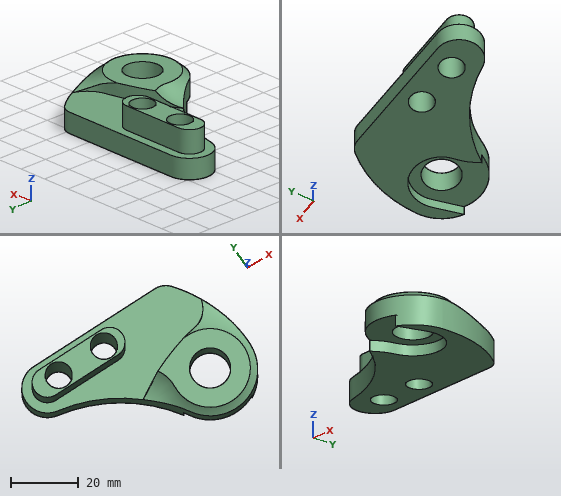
import cadquery as cq
import math


hub_radius = 14.1
cap_radius = 7.6
cap_x = -43.04
cap_y = 22.2
edge_y = cap_y + cap_radius
flank_radius = 47.8
back_radius = 42.0
back_angle = -2.0
corner_x = 0.0

plate_height = 7.0
hub_height = 11.45
part_height = 14.91

boss_radius = 4.53
boss_length = 22.05
pin_hole_radius = 4.0
pin_hole_spacing = 16.0
first_hole_offset = 4.0

bore_radius = 6.07
hub_top_radius = 11.9
flare_radius = 14.3
blend_radius = 10.7
blend_angle = 175.0
flare_end_angle = 95.0

wall_radius = 80.0
wall_start = (-21.8, 3.4)
wall_bend = (2.7, 12.9)
wall_end = (9.7, 19.6)

recess_depth = 3.5
recess_radius = 10.0
mouth_wall_angle = 17.0
mouth_flank_angle = 11.0
mouth_flank_end = (-13.05, -5.5)

margin = 40.0
clearance = 1.0


def polar(center, radius, degrees):
    """Point at the given radius and angle from center."""
    angle = math.radians(degrees)
    return (center[0] + radius * math.cos(angle), center[1] + radius * math.sin(angle))


def direction(start, end):
    """Angle in degrees of the line from start to end."""
    return math.degrees(math.atan2(end[1] - start[1], end[0] - start[0]))


def outline():
    """Closed plate outline, every stretch tangent to the next."""
    hub = (0, 0)
    cap = (cap_x, cap_y)

    to_hub = hub_radius + flank_radius
    to_cap = cap_radius + flank_radius
    span = math.hypot(cap_x, cap_y)
    cosine = (to_hub**2 + span**2 - to_cap**2) / (2 * to_hub * span)
    flank_angle = direction(hub, cap) + math.degrees(math.acos(cosine))
    flank = polar(hub, to_hub, flank_angle)
    flank_at_cap = polar(cap, cap_radius, direction(cap, flank))
    flank_at_hub = polar(hub, hub_radius, flank_angle)
    flank_mid = polar(flank, flank_radius, (direction(flank, cap) + direction(flank, hub)) / 2)

    back = polar(hub, hub_radius - back_radius, back_angle)
    corner_run = corner_x - back[0]
    edge_rise = edge_y - back[1]
    corner_radius = (back_radius**2 - corner_run**2 - edge_rise**2) / (2 * (back_radius - edge_rise))
    corner = (corner_x, edge_y - corner_radius)
    corner_angle = direction(back, corner)

    return (
        cq.Workplane("XY")
        .moveTo(cap_x, edge_y)
        .threePointArc((cap_x - cap_radius, cap_y), flank_at_cap)
        .threePointArc(flank_mid, flank_at_hub)
        .threePointArc(polar(hub, hub_radius, (flank_angle - 360 + back_angle) / 2),
                       polar(hub, hub_radius, back_angle))
        .threePointArc(polar(back, back_radius, (back_angle + corner_angle) / 2),
                       polar(back, back_radius, corner_angle))
        .threePointArc(polar(corner, corner_radius, (corner_angle + 90) / 2), (corner_x, edge_y))
        .close()
    )


def flare_cutter(center, rim_radius, outward, reach, start_angle, sweep):
    """Space above the flare, turned anticlockwise round a vertical axis through center.

    The flare starts on the rim of the hub top and runs out level with the plate top.
    outward is 1 when it falls away from the axis and -1 when it falls towards it.
    """
    drop = hub_height - plate_height
    turn = math.acos(1 - drop / flare_radius)
    foot_radius = rim_radius + outward * flare_radius * math.sin(turn)
    mid_radius = foot_radius - outward * flare_radius * math.sin(turn / 2)
    mid_height = plate_height + flare_radius * (1 - math.cos(turn / 2))
    profile = (
        cq.Workplane("XZ")
        .moveTo(reach, plate_height)
        .lineTo(foot_radius, plate_height)
        .threePointArc((mid_radius, mid_height), (rim_radius, hub_height))
        .lineTo(rim_radius, hub_height + clearance)
        .lineTo(reach, hub_height + clearance)
        .close()
    )
    cutter = profile.revolve(sweep, (0, 0, 0), (0, 1, 0))
    return cutter.rotate((0, 0, 0), (0, 0, 1), start_angle).translate((*center, 0))


def plate_top_cutter():
    """Space above the plate, bounded by the S-shaped upright wall."""
    return (
        cq.Workplane("XY", origin=(0, 0, plate_height))
        .moveTo(*wall_start)
        .radiusArc(wall_bend, wall_radius)
        .tangentArcPoint(wall_end, relative=False)
        .lineTo(wall_end[0], margin)
        .lineTo(-2 * margin, margin)
        .lineTo(-2 * margin, wall_start[1])
        .close()
        .extrude(hub_height)
    )


def body():
    """Plate and raised hub, with the flared hub rim."""
    blend_center = polar((0, 0), hub_top_radius + blend_radius, blend_angle)
    hub_sweep = 360 + flare_end_angle - blend_angle
    return (
        outline()
        .extrude(hub_height)
        .cut(plate_top_cutter())
        .cut(flare_cutter((0, 0), hub_top_radius, 1, margin, blend_angle, hub_sweep))
        .cut(flare_cutter(blend_center, blend_radius, -1, 0, blend_angle - 180, 90))
    )


def guide_boss():
    """Round-ended boss, concentric with the end cap of the plate."""
    return (
        cq.Workplane("XY")
        .center(cap_x + boss_length / 2, cap_y)
        .slot2D(boss_length + 2 * boss_radius, 2 * boss_radius)
        .extrude(part_height)
    )


def pin_holes():
    """Two through holes along the guide boss."""
    first_x = cap_x + first_hole_offset
    return (
        cq.Workplane("XY")
        .pushPoints([(first_x, cap_y), (first_x + pin_hole_spacing, cap_y)])
        .circle(pin_hole_radius)
        .extrude(part_height)
    )


def bore():
    """Through hole on the hub axis."""
    return cq.Workplane("XY").circle(bore_radius).extrude(hub_height)


def hub_recess():
    """Round recess in the underside, open through the hub side."""
    right = polar((0, 0), recess_radius, -mouth_wall_angle)
    left = polar((0, 0), recess_radius, 180 - mouth_flank_angle)
    mouth_end = polar(right, margin, 270 - mouth_wall_angle)
    return (
        cq.Workplane("XY")
        .moveTo(*right)
        .threePointArc((0, recess_radius), left)
        .tangentArcPoint(mouth_flank_end, relative=False)
        .lineTo(mouth_flank_end[0], mouth_end[1])
        .lineTo(*mouth_end)
        .close()
        .extrude(recess_depth)
    )


result = body().union(guide_boss()).cut(pin_holes()).cut(bore()).cut(hub_recess())